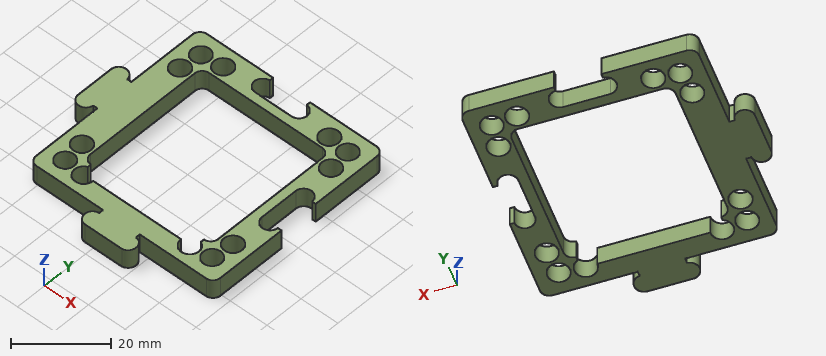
import cadquery as cq

overall_size = 55.4
frame_side = 50.0
thickness = 5.1
corner_radius = 2.0
half_side = frame_side / 2

window_side = 34.7
window_radius = 2.0
recess_width = window_side - 2 * window_radius
recess_edge = 20.4

key_depth = overall_size - frame_side
neck_width = 10.0
tab_neck_length = 1.1
tab_bulge = 1.95
notch_neck_length = 1.0
notch_bulge = 2.1

corner_hole_diameter = 4.8
corner_hole_offset = 19.95
side_hole_diameter = 4.9
side_hole_near = 14.4
side_hole_far = 20.5


def key(neck_length, bulge):
    """Key pointing to -Y from the line y = 0, with a round lobe on each side."""
    half_neck = neck_width / 2
    lobe_y = -(neck_length + key_depth) / 2
    return (
        cq.Workplane("XY")
        .moveTo(-half_neck, 0)
        .lineTo(-half_neck, -neck_length)
        .threePointArc((-half_neck - bulge, lobe_y), (-half_neck, -key_depth))
        .lineTo(half_neck, -key_depth)
        .threePointArc((half_neck + bulge, lobe_y), (half_neck, -neck_length))
        .lineTo(half_neck, 0)
        .close()
        .extrude(thickness)
    )


def mirrored_holes(x, y, diameter):
    """Through holes at (x, y) and its mirror images in both axes."""
    points = [(sx * x, sy * y) for sx in (-1, 1) for sy in (-1, 1)]
    return cq.Workplane("XY").pushPoints(points).circle(diameter / 2).extrude(thickness)


def window():
    opening = (
        cq.Workplane("XY")
        .rect(window_side, window_side)
        .extrude(thickness)
        .edges("|Z")
        .fillet(window_radius)
    )
    recess = (
        cq.Workplane("XY")
        .center(0, -recess_edge / 2)
        .rect(recess_width, recess_edge)
        .extrude(thickness)
    )
    return opening.union(recess)


frame = (
    cq.Workplane("XY")
    .rect(frame_side, frame_side)
    .extrude(thickness)
    .edges("|Z")
    .fillet(corner_radius)
)

tab = key(tab_neck_length, tab_bulge).translate((0, -half_side, 0))
notch = key(notch_neck_length, notch_bulge).translate((0, half_side, 0))
for turn in (0, -90):
    frame = frame.union(tab.rotate((0, 0, 0), (0, 0, 1), turn))
    frame = frame.cut(notch.rotate((0, 0, 0), (0, 0, 1), turn))

frame = frame.cut(window())
frame = frame.cut(mirrored_holes(corner_hole_offset, corner_hole_offset, corner_hole_diameter))
frame = frame.cut(mirrored_holes(side_hole_near, side_hole_far, side_hole_diameter))
frame = frame.cut(mirrored_holes(side_hole_far, side_hole_near, side_hole_diameter))

result = frame